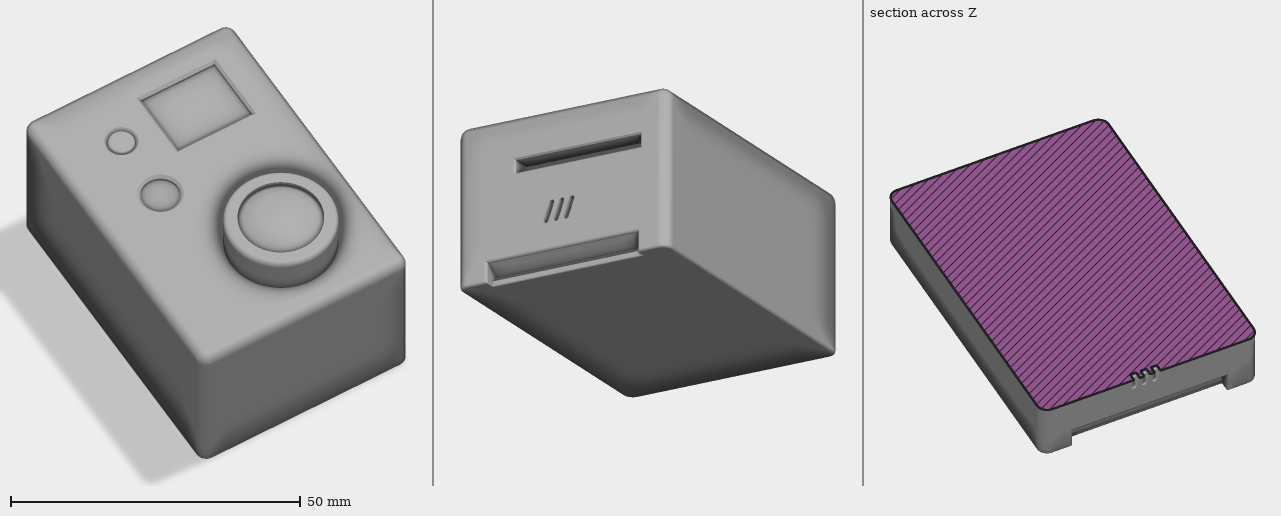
import cadquery as cq
import math

BODY_LENGTH = 60.0
BODY_WIDTH = 42.0
BODY_HEIGHT = 30.0
BODY_FILLET = 2.0
BASE_FILLET = 0.5
LEFT_FACE_X = -BODY_LENGTH / 2

MOUTH_CHAMFER = 0.5

LENS_CENTER = (15.0, 4.0)
RING_RADIUS = 10.0
RING_HEIGHT = 7.0
RING_FILLET = 1.0
RING_TOP_Z = BODY_HEIGHT + RING_HEIGHT
LENS_RADIUS = 7.5
LENS_SEAT_DEPTH = 1.0
LENS_RISE = 3.0

DISPLAY_CENTER = (-17.25, 6.5)
DISPLAY_LENGTH = 13.5
DISPLAY_WIDTH = 16.0
DISPLAY_DEPTH = 1.0

BUTTON_ROW_Y = -8.5
BUTTON_CENTER = (-17.5, BUTTON_ROW_Y)
BUTTON_RADIUS = 2.5
BUTTON_EDGE_FILLET = 0.75
WINDOW_CENTER = (-4.5, BUTTON_ROW_Y)
WINDOW_RADIUS = 3.5
WINDOW_DEPTH = 1.0

CARD_SLOT_CENTER_Y = -3.1
CARD_SLOT_CENTER_Z = 20.6
CARD_SLOT_LENGTH = 25.5
CARD_SLOT_HEIGHT = 3.0
CARD_SLOT_DEPTH = 4.0
CARD_SLOT_CHAMFER = 0.3

MIC_SLOT_COUNT = 3
MIC_SLOT_PITCH = 2.0
MIC_SLOT_LENGTH = 4.3
MIC_SLOT_WIDTH = 1.0
MIC_SLOT_DEPTH = 1.0
MIC_SLOT_LEAN = 20.0
MIC_CENTER_Y = 0.6
MIC_CENTER_Z = 10.9
MIC_HOLE_DEPTH = 1.5

NOTCH_WIDTH = 30.0
NOTCH_HEIGHT = 3.8
NOTCH_DEPTH = 2.1
NOTCH_MOUTH_FILLET = 0.5
NOTCH_LIP_DEPTH = 0.6
LEDGE_HEIGHT = 1.1
LEDGE_FILLET = 0.25
LEDGE_BACK_DEPTH = 3.5
CEILING_BACK_HEIGHT = 2.1


def make_body():
    block = cq.Workplane("XY").box(BODY_LENGTH, BODY_WIDTH, BODY_HEIGHT, centered=(True, True, False))
    rounded = block.edges("|Z or >Z").fillet(BODY_FILLET)
    return rounded.faces("<Z").edges().fillet(BASE_FILLET)


def make_lens():
    ring = cq.Workplane("XY").workplane(offset=BODY_HEIGHT).center(*LENS_CENTER)
    ring = ring.circle(RING_RADIUS).extrude(RING_HEIGHT)
    ring = ring.faces(">Z").edges().fillet(RING_FILLET)
    seat_z = RING_TOP_Z - LENS_SEAT_DEPTH
    seat = cq.Workplane("XY").workplane(offset=seat_z).center(*LENS_CENTER)
    ring = ring.cut(seat.circle(LENS_RADIUS).extrude(LENS_SEAT_DEPTH))

    sphere_radius = (LENS_RADIUS**2 + LENS_RISE**2) / (2 * LENS_RISE)
    mid_angle = math.asin(LENS_RADIUS / sphere_radius) / 2
    arc_middle = (
        sphere_radius * math.sin(mid_angle),
        LENS_RISE - sphere_radius * (1 - math.cos(mid_angle)),
    )
    cap = cq.Workplane("XZ").lineTo(LENS_RADIUS, 0).threePointArc(arc_middle, (0, LENS_RISE)).close()
    cap = cap.revolve(360, (0, 0, 0), (0, 1, 0))
    return ring.union(cap.translate((*LENS_CENTER, seat_z)))


def rectangular_cutter(length, width, depth, chamfer):
    """Recess tool below Z = 0, flared outwards at Z = 0 to length by width."""
    cutter = cq.Workplane("XY").rect(length - 2 * chamfer, width - 2 * chamfer).extrude(-depth)
    flare = cq.Workplane("XY").rect(length, width).extrude(-chamfer, taper=45)
    return cutter.union(flare)


def make_display_recess():
    cutter = rectangular_cutter(DISPLAY_LENGTH, DISPLAY_WIDTH, DISPLAY_DEPTH, MOUTH_CHAMFER)
    return cutter.translate((*DISPLAY_CENTER, BODY_HEIGHT))


def make_card_slot():
    cutter = rectangular_cutter(CARD_SLOT_HEIGHT, CARD_SLOT_LENGTH, CARD_SLOT_DEPTH, CARD_SLOT_CHAMFER)
    cutter = cutter.rotate((0, 0, 0), (0, 1, 0), -90)
    return cutter.translate((LEFT_FACE_X, CARD_SLOT_CENTER_Y, CARD_SLOT_CENTER_Z))


def make_round_recess(center, radius, depth):
    cutter = cq.Workplane("XY").circle(radius).extrude(-depth)
    flare = cq.Workplane("XY").circle(radius + MOUTH_CHAMFER).extrude(-MOUTH_CHAMFER, taper=45)
    return cutter.union(flare).translate((*center, BODY_HEIGHT))


def make_button():
    """Round button that fills its recess, flush with the top face."""
    button = cq.Workplane("XY").circle(BUTTON_RADIUS).extrude(-BUTTON_EDGE_FILLET * 2)
    button = button.faces(">Z").edges().fillet(BUTTON_EDGE_FILLET)
    return button.translate((*BUTTON_CENTER, BODY_HEIGHT))


def make_mic_slots():
    """Leaning slots, each with a deeper round hole at its middle."""
    slots = cq.Workplane("YZ")
    slot_angle = 90 + MIC_SLOT_LEAN
    for index in range(MIC_SLOT_COUNT):
        slot_y = MIC_CENTER_Y + (index - (MIC_SLOT_COUNT - 1) / 2) * MIC_SLOT_PITCH
        plane = cq.Workplane("YZ", origin=(LEFT_FACE_X, slot_y, MIC_CENTER_Z))
        slot = plane.slot2D(MIC_SLOT_LENGTH, MIC_SLOT_WIDTH, slot_angle).extrude(MIC_SLOT_DEPTH)
        slots = slots.add(slot)
        slots = slots.add(plane.circle(MIC_SLOT_WIDTH / 2).extrude(MIC_HOLE_DEPTH))
    return slots.combine()


def make_door_notch():
    fillet_end_depth = NOTCH_DEPTH + LEDGE_FILLET
    profile = (
        cq.Workplane("XZ")
        .lineTo(fillet_end_depth, 0)
        .radiusArc((NOTCH_DEPTH, LEDGE_FILLET), LEDGE_FILLET)
        .lineTo(NOTCH_DEPTH, LEDGE_HEIGHT - LEDGE_FILLET)
        .radiusArc((fillet_end_depth, LEDGE_HEIGHT), LEDGE_FILLET)
        .lineTo(LEDGE_BACK_DEPTH, LEDGE_HEIGHT)
        .lineTo(LEDGE_BACK_DEPTH, CEILING_BACK_HEIGHT)
        .lineTo(NOTCH_LIP_DEPTH, NOTCH_HEIGHT)
        .lineTo(0, NOTCH_HEIGHT)
        .close()
    )
    notch = profile.extrude(NOTCH_WIDTH / 2, both=True)
    return notch.translate((LEFT_FACE_X, 0, 0))


def make_notch_mouth():
    """Front stretch of the notch, widening to the left face in a quarter round."""
    outer_width = NOTCH_WIDTH + 4 * NOTCH_MOUTH_FILLET
    outer_height = NOTCH_HEIGHT + 2 * NOTCH_MOUTH_FILLET
    face = cq.Workplane("YZ", origin=(LEFT_FACE_X, 0, 0))
    outer = face.rect(outer_width, 2 * outer_height).extrude(NOTCH_LIP_DEPTH)
    opening = face.rect(NOTCH_WIDTH, 2 * NOTCH_HEIGHT).extrude(NOTCH_LIP_DEPTH)
    frame = outer.cut(opening)
    rim = frame.faces("<X").wires(cq.selectors.LengthNthSelector(0))
    return outer.cut(rim.fillet(NOTCH_MOUTH_FILLET))


result = make_body().union(make_lens())
result = result.cut(make_display_recess())
result = result.cut(make_round_recess(WINDOW_CENTER, WINDOW_RADIUS, WINDOW_DEPTH))
result = result.cut(make_round_recess(BUTTON_CENTER, BUTTON_RADIUS, BUTTON_EDGE_FILLET))
result = result.union(make_button())
result = result.cut(make_card_slot())
result = result.cut(make_mic_slots())
result = result.cut(make_door_notch().union(make_notch_mouth()))